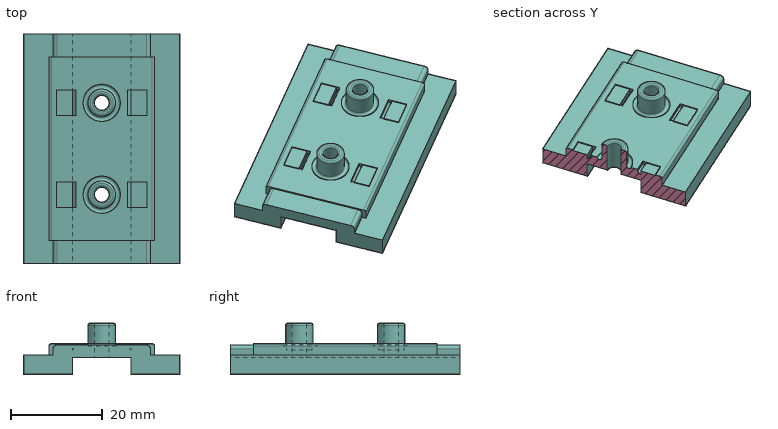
import cadquery as cq
import math

length = 50.0
base_width = 34.0
base_height = 4.25
channel_width = 12.7
channel_height = 3.65
rib_width = 21.2
rib_top = 6.4
rib_rounding = 0.9

cover_length = 40.0
cover_width = 23.0
cover_top = 6.7
cover_rounding = 0.55

overall_height = 11.15
boss_spacing = 20.0
boss_radius = 3.0
boss_rounding = 0.5
bore_radius = 1.6
mouth_rounding = 0.4
ring_groove_width = 1.05

window_inner = 5.6
window_outer = 9.8
window_length = 5.6
window_depth = 0.2

slit_width = 0.75
slit_inner_depth = 0.55
slit_drop = 0.8


def block(width, depth, height):
    """Box standing on the bottom plane, centred in X and Y."""
    return cq.Workplane("XY").box(width, depth, height, centered=(True, True, False))


def ridge(width, depth, top, rounding):
    """Block with its two long top edges rounded."""
    return block(width, depth, top).edges("|Y and >Z").fillet(rounding)


def rail_with_cover():
    slab = block(base_width, length, base_height)
    rib = ridge(rib_width, length, rib_top, rib_rounding)
    cover = ridge(cover_width, cover_length, cover_top, cover_rounding)
    channel = block(channel_width, length, channel_height)
    return slab.union(rib).union(cover).cut(channel)


def boss():
    """Solid post from the channel roof to the full height, rounded at the top."""
    post = cq.Workplane("XY").workplane(offset=channel_height)
    post = post.circle(boss_radius).extrude(overall_height - channel_height)
    return post.faces(">Z").edges().fillet(boss_rounding)


def ring_groove():
    """Half-round groove sunk into the cover around a boss."""
    groove_radius = ring_groove_width / 2
    centre = boss_radius + groove_radius
    profile = cq.Workplane("XZ").center(centre, cover_top).circle(groove_radius)
    return profile.revolve(360, (-centre, 0, 0), (-centre, 1, 0))


def bore():
    """Hole through boss and rib, with a rounded mouth at the top of the boss."""
    mouth_start = overall_height - mouth_rounding
    mouth_radius = bore_radius + mouth_rounding
    bend = mouth_rounding * math.sqrt(0.5)
    profile = (
        cq.Workplane("XZ")
        .lineTo(bore_radius, 0)
        .lineTo(bore_radius, mouth_start)
        .threePointArc((mouth_radius - bend, mouth_start + bend), (mouth_radius, overall_height))
        .lineTo(0, overall_height)
        .close()
    )
    return profile.revolve(360, (0, 0, 0), (0, 1, 0))


def window(side):
    """Shallow window and its slit on one side of a boss; side is -1 or 1."""
    floor = cover_top - window_depth
    slit_inner = cover_top - slit_inner_depth
    slit_edge = window_inner + slit_width
    profile = cq.Workplane("XZ").polyline([
        (side * window_inner, cover_top),
        (side * window_outer, cover_top),
        (side * window_outer, floor),
        (side * slit_edge, floor),
        (side * slit_edge, slit_inner - slit_drop),
        (side * window_inner, slit_inner),
    ]).close()
    return profile.extrude(window_length / 2, both=True)


result = rail_with_cover()
for boss_y in (-boss_spacing / 2, boss_spacing / 2):
    place = (0, boss_y, 0)
    result = result.union(boss().translate(place))
    for cutter in (ring_groove(), bore(), window(-1), window(1)):
        result = result.cut(cutter.translate(place))